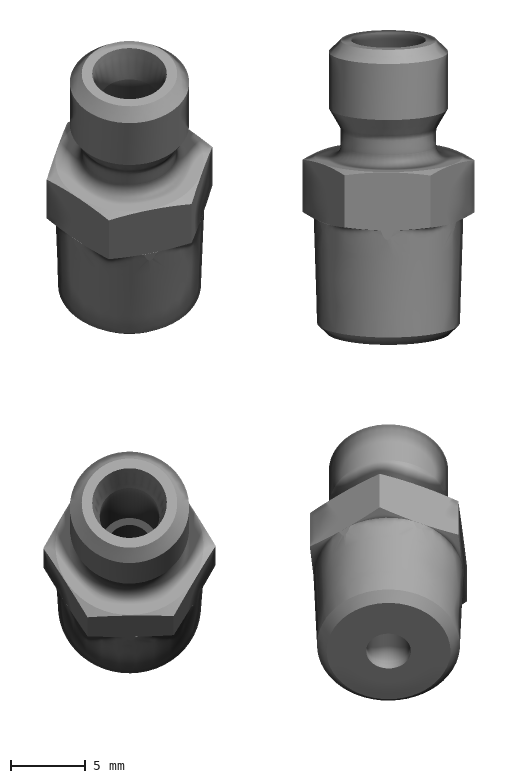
import cadquery as cq
import math

total_height = 20.0
hex_bottom = 8.0
hex_top = 12.0
collar_bottom = 15.35

collar_radius = 4.0
neck_radius = 3.2
collar_chamfer = 0.8
undercut_angle = math.radians(30)
undercut_fillet = 0.65
base_fillet = collar_radius - neck_radius

across_flats = 10.0
corner_radius = across_flats / math.sqrt(3)
hex_face_radius = 4.95
hex_chamfer_angle = math.radians(15)

taper_slope = 1 / 32
flat_runout_height = 7.35
shank_chamfer = 0.65

bore_diameter = 3.0
counterbore_diameter = 4.0
mouth_diameter = 5.0
mouth_depth = 2.4
counterbore_bottom = hex_top


def hex_prism(bottom, top):
    """Hexagonal prism with two flats square to X."""
    return (
        cq.Workplane("XY", origin=(0, 0, bottom))
        .polygon(6, 2 * corner_radius)
        .extrude(top - bottom)
        .rotate((0, 0, 0), (0, 0, 1), 30)
    )


def make_hexagon():
    """Wrench hexagon with its corners turned down at both ends."""
    corner_drop = (corner_radius - hex_face_radius) * math.tan(hex_chamfer_angle)
    envelope = (
        cq.Workplane("XZ")
        .moveTo(0, hex_bottom)
        .lineTo(hex_face_radius, hex_bottom)
        .lineTo(corner_radius, hex_bottom + corner_drop)
        .lineTo(corner_radius, hex_top - corner_drop)
        .lineTo(hex_face_radius, hex_top)
        .lineTo(0, hex_top)
        .close()
        .revolve(360, (0, 0, 0), (0, 1, 0))
    )
    return hex_prism(hex_bottom, hex_top).intersect(envelope)


def shank_radius(height):
    return across_flats / 2 + (height - flat_runout_height) * taper_slope


def make_shank():
    """Tapered shank, trimmed by the hexagon flats where it is wider than they are."""
    chamfer_radius = shank_radius(shank_chamfer)
    cone = (
        cq.Workplane("XZ")
        .lineTo(chamfer_radius - shank_chamfer, 0)
        .lineTo(chamfer_radius, shank_chamfer)
        .lineTo(shank_radius(hex_bottom), hex_bottom)
        .lineTo(0, hex_bottom)
        .close()
        .revolve(360, (0, 0, 0), (0, 1, 0))
    )
    return cone.intersect(hex_prism(0, hex_bottom))


def make_plug():
    """Collar, conical undercut and neck, flared into the hexagon face."""
    undercut_height = (collar_radius - neck_radius) / math.tan(undercut_angle)
    tangent_length = undercut_fillet * math.tan(undercut_angle / 2)
    fillet_bottom = collar_bottom - undercut_height - tangent_length
    fillet_center_radius = neck_radius + undercut_fillet

    def fillet_point(angle):
        return (
            fillet_center_radius - undercut_fillet * math.cos(angle),
            fillet_bottom + undercut_fillet * math.sin(angle),
        )

    base_arc_offset = base_fillet * (1 - math.sqrt(0.5))
    return (
        cq.Workplane("XZ")
        .moveTo(0, hex_top)
        .lineTo(neck_radius + base_fillet, hex_top)
        .threePointArc(
            (neck_radius + base_arc_offset, hex_top + base_arc_offset),
            (neck_radius, hex_top + base_fillet),
        )
        .lineTo(neck_radius, fillet_bottom)
        .threePointArc(fillet_point(undercut_angle / 2), fillet_point(undercut_angle))
        .lineTo(collar_radius, collar_bottom)
        .lineTo(collar_radius, total_height - collar_chamfer)
        .lineTo(collar_radius - collar_chamfer, total_height)
        .lineTo(0, total_height)
        .close()
        .revolve(360, (0, 0, 0), (0, 1, 0))
    )


def make_bore():
    """Through bore, wider counterbore and conical mouth."""
    mouth_bottom = total_height - mouth_depth
    return (
        cq.Workplane("XZ")
        .lineTo(bore_diameter / 2, 0)
        .lineTo(bore_diameter / 2, counterbore_bottom)
        .lineTo(counterbore_diameter / 2, counterbore_bottom)
        .lineTo(counterbore_diameter / 2, mouth_bottom)
        .lineTo(mouth_diameter / 2, total_height)
        .lineTo(0, total_height)
        .close()
        .revolve(360, (0, 0, 0), (0, 1, 0))
    )


result = make_shank().union(make_hexagon()).union(make_plug()).cut(make_bore())